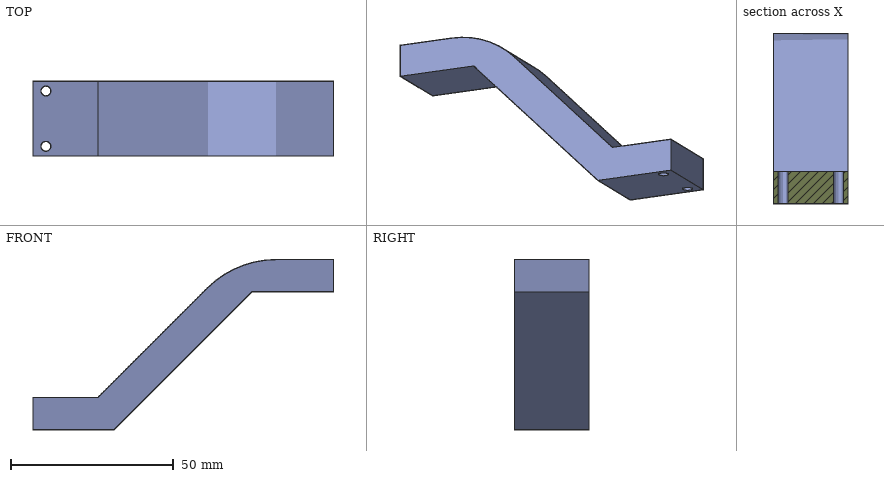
import cadquery as cq

length = 92.4
width = 23.0
height = 52.4

pad_thickness = 10.0
lower_pad_top_length = 20.0
lower_pad_bottom_length = 25.0
bend_radius = 30.0

hole_diameter = 3.0
hole_end_offset = 4.0
hole_spacing = 17.0

ramp_rise = height - pad_thickness
upper_pad_bottom_start = lower_pad_bottom_length + ramp_rise
upper_bend_x = lower_pad_top_length + ramp_rise


def make_bar():
    """Extrude the side profile symmetrically about the XZ plane."""
    return (
        cq.Workplane("XZ")
        .moveTo(0, 0)
        .lineTo(lower_pad_bottom_length, 0)
        .lineTo(upper_pad_bottom_start, ramp_rise)
        .lineTo(length, ramp_rise)
        .lineTo(length, height)
        .lineTo(upper_bend_x, height)
        .lineTo(lower_pad_top_length, pad_thickness)
        .lineTo(0, pad_thickness)
        .close()
        .extrude(width / 2, both=True)
    )


def round_upper_bend(bar):
    """Round the outer edge where the ramp meets the upper pad."""
    bend_edge = cq.selectors.NearestToPointSelector((upper_bend_x, 0, height))
    return bar.edges("|Y").edges(bend_edge).fillet(bend_radius)


def make_mounting_holes():
    """Two vertical cylinders, side by side near the end of the lower pad."""
    return (
        cq.Workplane("XY")
        .pushPoints([(hole_end_offset, side * hole_spacing / 2) for side in (-1, 1)])
        .circle(hole_diameter / 2)
        .extrude(pad_thickness)
    )


result = round_upper_bend(make_bar()).cut(make_mounting_holes())